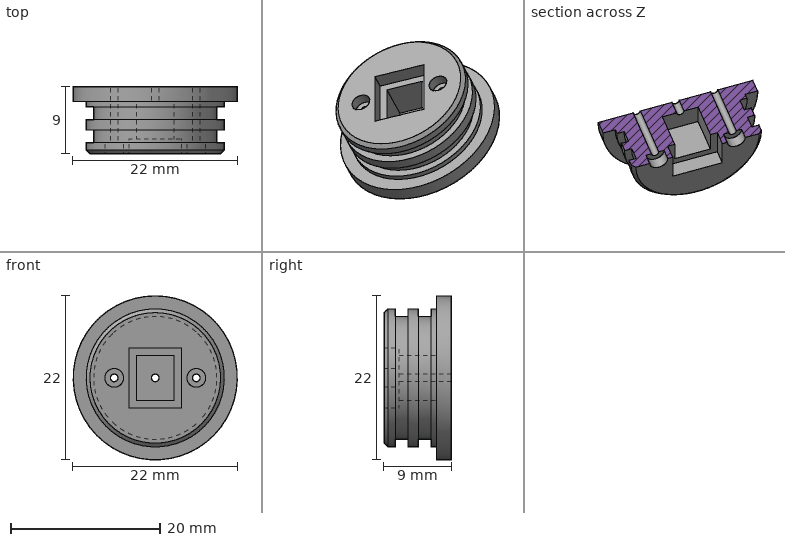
import cadquery as cq

total_length = 9.0
flange_diameter = 22.0
flange_thickness = 2.0
body_diameter = 18.5
entry_chamfer = 0.5

groove_diameter = 16.5
groove_width = 1.7
front_land = 1.5
middle_land = 1.4

pocket_width = 7.0
pocket_height = 8.0
pocket_depth = 2.0
ledge_width = 1.0
inner_pocket_depth = 7.0

hole_diameter = 1.0
screw_offset = 5.5
counterbore_diameter = 2.5
counterbore_depth = 1.5

entry_y = -total_length / 2


def cylinder(diameter, start, length, x=0):
    """Cylinder along +Y, starting a given distance behind the entry face."""
    base = cq.Vector(x, entry_y + start, 0)
    return cq.Workplane(cq.Solid.makeCylinder(diameter / 2, length, base, cq.Vector(0, 1, 0)))


def pocket(width, height, depth):
    """Rectangular pocket sunk from the entry face."""
    return cq.Workplane("XY").box(width, depth, height).translate((0, entry_y + depth / 2, 0))


def groove(start):
    """Ring to be cut from the body to leave one groove."""
    ring = cylinder(body_diameter, start, groove_width)
    return ring.cut(cylinder(groove_diameter, start, groove_width))


result = cylinder(body_diameter, 0, total_length).faces("<Y").chamfer(entry_chamfer)
flange_start = total_length - flange_thickness
result = result.union(cylinder(flange_diameter, flange_start, flange_thickness))

for groove_start in (front_land, front_land + groove_width + middle_land):
    result = result.cut(groove(groove_start))

result = result.cut(pocket(pocket_width, pocket_height, pocket_depth))
inner_width = pocket_width - 2 * ledge_width
inner_height = pocket_height - 2 * ledge_width
result = result.cut(pocket(inner_width, inner_height, inner_pocket_depth))

for hole_x in (-screw_offset, 0, screw_offset):
    result = result.cut(cylinder(hole_diameter, 0, total_length, hole_x))
for hole_x in (-screw_offset, screw_offset):
    result = result.cut(cylinder(counterbore_diameter, 0, counterbore_depth, hole_x))